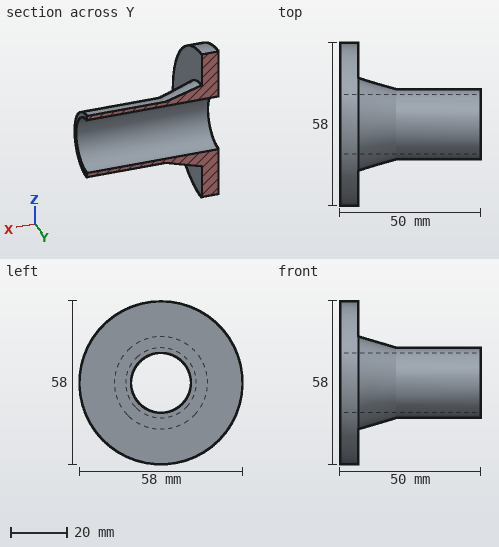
import cadquery as cq

total_length = 50.0
flange_diameter = 58.0
flange_thickness = 6.5
pipe_diameter = 25.0
bore_diameter = 21.2

neck_base_diameter = 33.0
neck_end = 20.0

body = (
    cq.Workplane("XZ")
    .moveTo(0, 0)
    .lineTo(0, flange_diameter / 2)
    .lineTo(flange_thickness, flange_diameter / 2)
    .lineTo(flange_thickness, neck_base_diameter / 2)
    .lineTo(neck_end, pipe_diameter / 2)
    .lineTo(total_length, pipe_diameter / 2)
    .lineTo(total_length, 0)
    .close()
    .revolve(360, (0, 0, 0), (1, 0, 0))
)

bore = cq.Workplane("YZ").circle(bore_diameter / 2).extrude(total_length)

result = body.cut(bore)